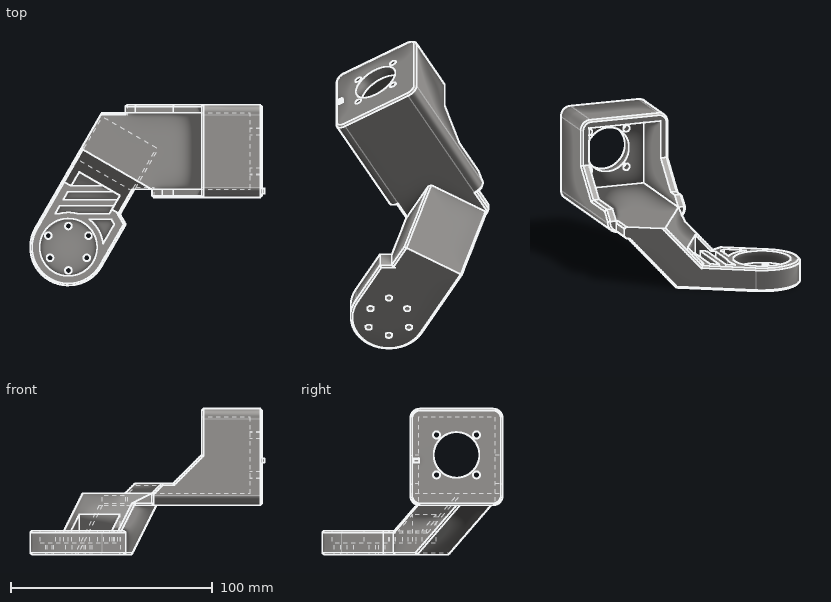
import cadquery as cq
import math


ARM_ANGLE = 60.0
PAD_RADIUS = 19.0
PAD_THICKNESS = 12.0
ARM_RIGHT = 14.0
SHOULDER_ANGLE = 30.0
SLOPE_TOP_START = 27.0
SLOPE_UNDER_START = 40.0
ARM_WALL = 5.0
CHAMFER = 1.0

RECESS_RADIUS = 14.25
RECESS_FLOOR = 6.0
PAD_HOLE_DIAMETER = 3.2
INNER_HOLE_CIRCLE = 10.5
OUTER_HOLE_CIRCLE = 11.5
INNER_FIRST_ANGLE = 90.0
OUTER_FIRST_ANGLE = 30.0
HOLES_PER_CIRCLE = 3

POCKET_FLOOR = 6.0
POCKET_END = 35.0
POCKET_RIGHT = 9.3
RING_WALL = 3.0
RIB_WIDTH = 2.9
RIB_PITCH = 6.9
RIB_COUNT = 3
FIRST_RIB_Y = 15.2

HOUSING_TOP = 72.5
HOUSING_WALL = 4.0
HOUSING_FLOOR = 6.0
MOTOR_WALL = 6.0
CAVITY = 38.0
HOUSING_RADIUS = 5.0
HOUSING_FRONT = 66.0
HOUSING_LENGTH = 30.0
HOUSING_Y_MAX = 70.63
LEFT_WALL_START = 28.1
SIDE_STEP = 5.0

MOTOR_BORE = 22.5
MOTOR_HOLE_CIRCLE = 28.0
MOTOR_HOLE_COUNT = 4
MOTOR_FIRST_ANGLE = 45.0
MOTOR_HOLE_DIAMETER = 3.4

CATCH_WIDTH = 2.8
CATCH_HEIGHT = 2.4
CATCH_LENGTH = 1.4
CATCH_BEVEL = 0.45
CATCH_Y = 27.8
CATCH_Z = 46.7

TOLERANCE = 0.01

RING_RADIUS = RECESS_RADIUS + RING_WALL
HOUSING_WIDTH = CAVITY + 2 * HOUSING_WALL
HOUSING_HEIGHT = CAVITY + HOUSING_WALL + HOUSING_FLOOR
HOUSING_BACK = HOUSING_FRONT + HOUSING_LENGTH
HOUSING_BOTTOM = HOUSING_TOP - HOUSING_HEIGHT
FLOOR_TOP = HOUSING_BOTTOM + HOUSING_FLOOR
AXIS_Y = HOUSING_Y_MAX - HOUSING_WIDTH / 2
AXIS_Z = FLOOR_TOP + CAVITY / 2
CAVITY_Y_MIN = AXIS_Y - CAVITY / 2
CAVITY_Y_MAX = AXIS_Y + CAVITY / 2
SLOPE_TOP_END = SLOPE_TOP_START + FLOOR_TOP - PAD_THICKNESS
SLOPE_UNDER_END = SLOPE_UNDER_START + HOUSING_BOTTOM
COS_ARM = math.cos(math.radians(ARM_ANGLE))
SIN_ARM = math.sin(math.radians(ARM_ANGLE))
SHOULDER_LENGTH = (PAD_RADIUS - ARM_RIGHT) * math.tan(math.radians(SHOULDER_ANGLE))
RIGHT_WALL_START = (SLOPE_TOP_END - CAVITY_Y_MIN * SIN_ARM) / COS_ARM


def turn(body):
    """Turn a body from the arm layout into its final direction."""
    return body.rotate((0, 0, 0), (0, 0, 1), ARM_ANGLE)


def block(x_min, x_max, y_min, y_max, z_min, z_max):
    size = (x_max - x_min, y_max - y_min, z_max - z_min)
    return cq.Workplane("XY").box(*size, centered=False).translate((x_min, y_min, z_min))


def make_pad():
    pad = (
        cq.Workplane("XY")
        .moveTo(0, PAD_RADIUS)
        .threePointArc((-PAD_RADIUS, 0), (0, -PAD_RADIUS))
        .lineTo(SLOPE_TOP_START - SHOULDER_LENGTH, -PAD_RADIUS)
        .lineTo(SLOPE_TOP_START, -ARM_RIGHT)
        .lineTo(SLOPE_TOP_START, PAD_RADIUS)
        .close()
        .extrude(PAD_THICKNESS)
    )
    joint = cq.selectors.BoxSelector(
        (SLOPE_TOP_START - TOLERANCE, -PAD_RADIUS, -TOLERANCE),
        (SLOPE_TOP_START + TOLERANCE, PAD_RADIUS, PAD_THICKNESS + TOLERANCE),
    )
    rims = pad.faces("|Z").edges().edges(cq.selectors.InverseSelector(joint))
    return rims.chamfer(CHAMFER)


def make_arm():
    arm = (
        cq.Workplane("XZ", origin=(0, PAD_RADIUS, 0))
        .moveTo(SLOPE_TOP_START, 0)
        .lineTo(SLOPE_UNDER_START, 0)
        .lineTo(SLOPE_UNDER_END, HOUSING_BOTTOM)
        .lineTo(SLOPE_UNDER_END, FLOOR_TOP)
        .lineTo(SLOPE_TOP_END, FLOOR_TOP)
        .lineTo(SLOPE_TOP_START, PAD_THICKNESS)
        .close()
        .extrude(PAD_RADIUS + ARM_RIGHT)
    )
    sloped = arm.edges(cq.selectors.ParallelDirSelector(cq.Vector(1, 0, 1)))
    under = arm.faces("<Z").edges("|X")
    return sloped.add(under).chamfer(CHAMFER)


def above_slope():
    """Space above the upper slope and below the floor, in the arm layout."""
    reach = 2 * SLOPE_TOP_END
    return (
        cq.Workplane("XZ", origin=(0, reach, 0))
        .moveTo(SLOPE_TOP_START, PAD_THICKNESS)
        .lineTo(SLOPE_TOP_END, FLOOR_TOP)
        .lineTo(SLOPE_TOP_START, FLOOR_TOP)
        .close()
        .extrude(2 * reach)
    )


def make_platform():
    """Flat floor that carries the slope into the housing."""
    left_x = (CAVITY_Y_MAX * COS_ARM - PAD_RADIUS) / SIN_ARM
    edge_along = (SLOPE_TOP_END + SLOPE_UNDER_END) / 2
    edge_start = (
        edge_along * COS_ARM - PAD_RADIUS * SIN_ARM,
        edge_along * SIN_ARM + PAD_RADIUS * COS_ARM,
    )
    right_x = (CAVITY_Y_MIN * COS_ARM + ARM_RIGHT - 2 * CHAMFER) / SIN_ARM
    platform = (
        cq.Workplane("XY", origin=(0, 0, HOUSING_BOTTOM))
        .polyline([
            (left_x, CAVITY_Y_MAX),
            (HOUSING_FRONT, CAVITY_Y_MAX),
            (HOUSING_FRONT, CAVITY_Y_MIN),
            (right_x, CAVITY_Y_MIN),
            edge_start,
        ])
        .close()
        .extrude(HOUSING_FLOOR)
    )
    platform = platform.faces(">Y").edges("|X").chamfer(CHAMFER)
    platform = platform.faces("<Y").edges("<Z").chamfer(CHAMFER)
    return platform.cut(turn(above_slope()))


def pocket_outline():
    """Pocket area, set in from the pad and arm outline by the wall thickness."""
    slant = math.radians(SHOULDER_ANGLE)
    corner = SLOPE_TOP_START - SHOULDER_LENGTH
    shift = ARM_WALL * (1 / math.cos(slant) - math.tan(slant))
    outer = corner - shift
    narrowing = (PAD_RADIUS - ARM_WALL - POCKET_RIGHT) * math.tan(slant)
    return [
        (0, PAD_RADIUS - ARM_WALL),
        (POCKET_END, PAD_RADIUS - ARM_WALL),
        (POCKET_END, -POCKET_RIGHT),
        (outer + narrowing, -POCKET_RIGHT),
        (outer, ARM_WALL - PAD_RADIUS),
        (0, ARM_WALL - PAD_RADIUS),
    ]


def make_pocket():
    floor = cq.Workplane("XY", origin=(0, 0, POCKET_FLOOR))
    pocket = turn(floor.polyline(pocket_outline()).close().extrude(FLOOR_TOP))
    pocket = pocket.cut(floor.circle(RING_RADIUS).extrude(FLOOR_TOP))
    reach = 2 * POCKET_END
    for i in range(RIB_COUNT):
        rib_y = FIRST_RIB_Y + i * RIB_PITCH
        rib = block(-reach, reach, rib_y - RIB_WIDTH / 2, rib_y + RIB_WIDTH / 2, 0, PAD_THICKNESS)
        pocket = pocket.cut(rib)
    return pocket


def make_pad_cuts():
    recess = cq.Workplane("XY", origin=(0, 0, RECESS_FLOOR)).circle(RECESS_RADIUS).extrude(PAD_THICKNESS)
    circles = (
        (INNER_HOLE_CIRCLE, INNER_FIRST_ANGLE),
        (OUTER_HOLE_CIRCLE, OUTER_FIRST_ANGLE),
    )
    for radius, first_angle in circles:
        drills = (
            cq.Workplane("XY")
            .polarArray(radius, first_angle, 360, HOLES_PER_CIRCLE)
            .circle(PAD_HOLE_DIAMETER / 2)
            .extrude(PAD_THICKNESS)
        )
        recess = recess.union(drills)
    return recess


def make_shell(wall_start):
    """Solid housing with side walls that begin at wall_start, outer edges broken."""
    step_z = FLOOR_TOP + SIDE_STEP
    body = block(wall_start, HOUSING_BACK, HOUSING_Y_MAX - HOUSING_WIDTH, HOUSING_Y_MAX,
                 HOUSING_BOTTOM, HOUSING_TOP)
    body = body.edges("|X").fillet(HOUSING_RADIUS)
    opening = (
        cq.Workplane("XZ", origin=(0, HOUSING_Y_MAX, 0))
        .moveTo(wall_start, FLOOR_TOP)
        .lineTo(wall_start + SIDE_STEP, step_z)
        .lineTo(HOUSING_FRONT - (AXIS_Z - step_z), step_z)
        .lineTo(HOUSING_FRONT, AXIS_Z)
        .lineTo(HOUSING_FRONT, HOUSING_TOP)
        .lineTo(wall_start, HOUSING_TOP)
        .close()
        .extrude(HOUSING_WIDTH)
    )
    body = body.cut(opening)

    def is_outer_edge(edge):
        if edge.geomType() == "CIRCLE":
            return True
        z = edge.Center().z
        direction = edge.tangentAt(0.5)
        if abs(direction.y) > 1 - TOLERANCE:
            return z < HOUSING_BOTTOM + TOLERANCE or z > HOUSING_TOP - TOLERANCE
        if abs(direction.x) > 1 - TOLERANCE:
            return abs(z - step_z) < TOLERANCE
        return True

    def is_first_ramp(edge):
        center = edge.Center()
        on_ramp = FLOOR_TOP < center.z < step_z and center.x < wall_start + SIDE_STEP
        on_side = abs(center.y - AXIS_Y) > HOUSING_WIDTH / 2 - TOLERANCE
        return on_ramp and on_side

    outer_edges = body.edges().filter(is_outer_edge)
    body = outer_edges.filter(lambda edge: not is_first_ramp(edge)).chamfer(CHAMFER)
    return body.edges().filter(is_first_ramp).chamfer(CHAMFER)


def make_housing():
    right_side = block(0, HOUSING_BACK, 0, AXIS_Y, 0, HOUSING_TOP)
    left_side = block(0, HOUSING_BACK, AXIS_Y, HOUSING_Y_MAX, 0, HOUSING_TOP)
    right_half = make_shell(RIGHT_WALL_START).intersect(right_side)
    left_half = make_shell(LEFT_WALL_START).intersect(left_side)
    housing = right_half.union(left_half)
    cavity = block(0, HOUSING_BACK - MOTOR_WALL, CAVITY_Y_MIN, CAVITY_Y_MAX,
                   FLOOR_TOP, FLOOR_TOP + CAVITY)
    return housing.cut(cavity)


def make_motor_cuts():
    wall = cq.Workplane("YZ", origin=(HOUSING_FRONT, AXIS_Y, AXIS_Z))
    bore = wall.circle(MOTOR_BORE / 2).extrude(HOUSING_LENGTH)
    screws = (
        wall.polarArray(MOTOR_HOLE_CIRCLE / 2, MOTOR_FIRST_ANGLE, 360, MOTOR_HOLE_COUNT)
        .circle(MOTOR_HOLE_DIAMETER / 2)
        .extrude(HOUSING_LENGTH)
    )
    return bore.union(screws)


def make_catch():
    """Small catch on the motor wall, bevelled above and below its tip."""
    catch = block(HOUSING_BACK - MOTOR_WALL / 2, HOUSING_BACK + CATCH_LENGTH,
                  CATCH_Y - CATCH_WIDTH / 2, CATCH_Y + CATCH_WIDTH / 2,
                  CATCH_Z - CATCH_HEIGHT / 2, CATCH_Z + CATCH_HEIGHT / 2)
    return catch.faces(">X").edges("|Y").chamfer(CATCH_BEVEL)


lower_arm = turn(make_pad().union(make_arm())).cut(make_pocket()).cut(make_pad_cuts())
housing = make_housing().cut(make_motor_cuts()).union(make_catch())
result = lower_arm.union(make_platform()).union(housing)